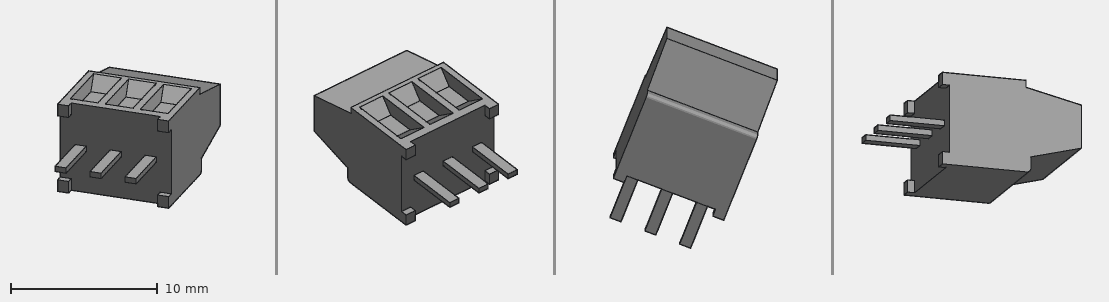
import cadquery as cq


total_length = 13.4
width = 8.08
height = 6.5
top = height / 2
bottom = -height / 2

pole_count = 3
pole_pitch = 2.55

pin_length = 3.9
pin_width = 0.8
pin_thickness = 0.4

housing_depth = total_length - pin_length
upper_step_y = 5.51
upper_step_drop = 0.5
rear_top_drop = 1.38
lower_step_y = 5.85
lower_step_rise = 1.1
rear_bottom_rise = 2.06
underside_radius = 0.3

foot_length = 0.51
foot_width = 0.8
foot_height = 0.87

pocket_width = 2.01
pocket_length = 4.5
pocket_floor_width = 1.5
pocket_floor_length = 2.1
pocket_depth = 0.8
pocket_front_wall = 0.65

pole_positions = [(index - (pole_count - 1) / 2) * pole_pitch for index in range(pole_count)]


def make_shell():
    """Housing block: the side profile extruded across the full width."""
    profile = [
        (0, bottom),
        (lower_step_y, bottom),
        (lower_step_y, bottom + lower_step_rise),
        (housing_depth, bottom + rear_bottom_rise),
        (housing_depth, top - rear_top_drop),
        (upper_step_y, top - upper_step_drop),
        (upper_step_y, top),
        (0, top),
    ]
    block = cq.Workplane("YZ").polyline(profile).close().extrude(width / 2, both=True)
    underside_edge = cq.selectors.NearestToPointSelector((0, lower_step_y, bottom))
    return block.edges(underside_edge).fillet(underside_radius)


def make_feet():
    """Four feet standing out from the corners of the mounting face."""
    return (
        cq.Workplane("XZ")
        .rarray(width - foot_width, height - foot_height, 2, 2)
        .rect(foot_width, foot_height)
        .extrude(foot_length)
    )


def make_pocket(x):
    """Cutter for one pocket that narrows from the flat top to its floor."""
    center_y = pocket_front_wall + pocket_length / 2
    return (
        cq.Workplane("XY", origin=(x, center_y, top))
        .rect(pocket_width, pocket_length)
        .workplane(offset=-pocket_depth)
        .rect(pocket_floor_width, pocket_floor_length)
        .loft(ruled=True)
    )


def make_housing():
    """Block with its feet, and one pocket above each pole."""
    body = make_shell().union(make_feet())
    for x in pole_positions:
        body = body.cut(make_pocket(x))
    return body


def make_pin(x):
    """Flat straight pin that meets the mounting face at mid height."""
    return (
        cq.Workplane("XZ", origin=(x, 0, 0))
        .rect(pin_width, pin_thickness)
        .extrude(pin_length)
    )


housing = make_housing()
pins = [make_pin(x) for x in pole_positions]

result = cq.Compound.makeCompound([housing.val(), *[pin.val() for pin in pins]])